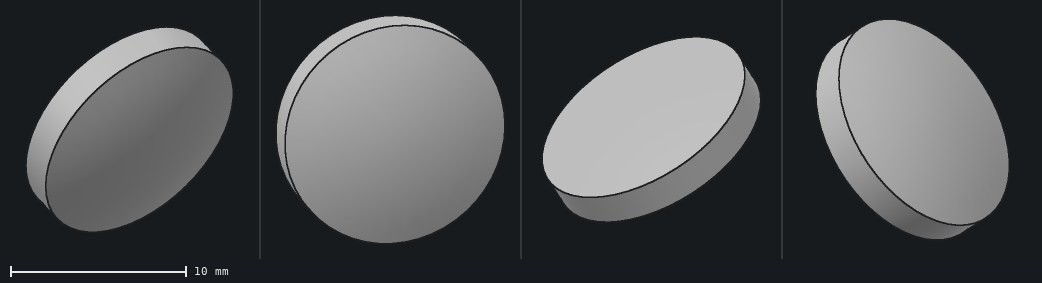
import cadquery as cq

diameter = 13.0
rim_width = 2.0
cap_height = 1.2

radius = diameter / 2
half_rim = rim_width / 2
apex = half_rim + cap_height
sphere_radius = (radius**2 + cap_height**2) / (2 * cap_height)

mid_radius = radius / 2
mid_x = apex - sphere_radius + (sphere_radius**2 - mid_radius**2) ** 0.5

half_section = (
    cq.Workplane("XY")
    .moveTo(-apex, 0)
    .threePointArc((-mid_x, -mid_radius), (-half_rim, -radius))
    .lineTo(half_rim, -radius)
    .threePointArc((mid_x, -mid_radius), (apex, 0))
    .close()
)
result = half_section.revolve(360, (0, 0, 0), (1, 0, 0))